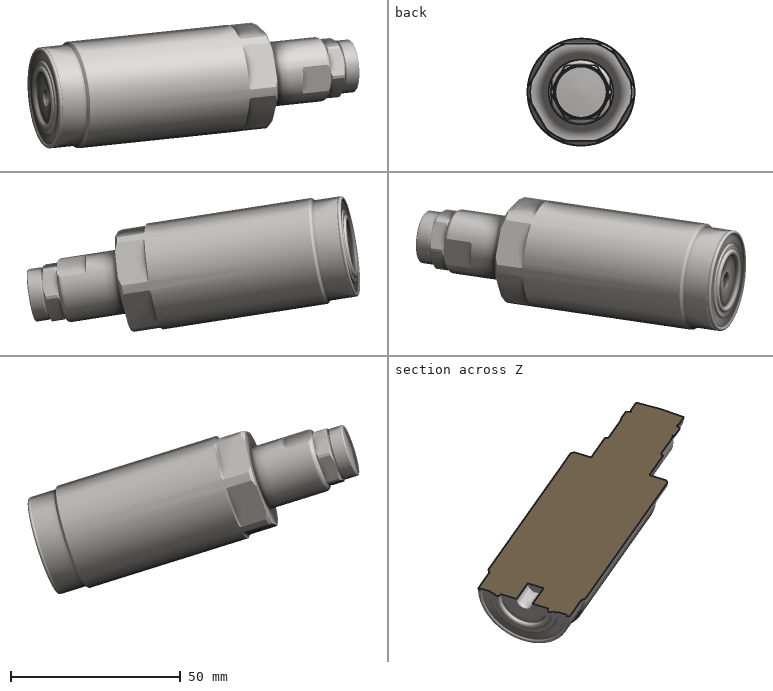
import cadquery as cq
import math

length = 96.6

floor_y = 1.1
bead_floor_y = 1.3
seat_y = 0.63
seat_base_radius = 11.0
seat_top_radius = 10.7
bead_inner_radius = 7.7
bead_outer_radius = 9.5
hole_radius = 2.5
hole_depth = 7.7

collar_radius = 15.0
collar_y = 1.5
rim_round = 0.6

body_diameter = 31.6
body_radius = body_diameter / 2
body_y = 9.8
body_end_y = 68.3
body_chamfer = 0.9
body_flat_y = 59.2
body_flat_apothem = 14.3

neck_diameter = 19.0
neck_radius = neck_diameter / 2
neck_end_y = 87.15
neck_round = 1.45
neck_flat_y = 78.1
neck_flat_apothem = 8.6

flat_fillet = 0.6

nut_radius = 8.9
nut_apothem = 7.9
nut_end_y = 91.6
nut_front_chamfer = 0.4
nut_rear_chamfer_length = 0.5
nut_rear_chamfer_depth = 0.9

groove_radius = 7.5
cap_radius = 7.8
cap_y = 91.9
cap_end_y = 96.2
cap_chamfer = 0.3
cone_radius = 7.0


def on_circle(center, radius, degrees):
    """Point (radius, y) on a circle of the half outline; 0 degrees points outward, 90 towards +Y."""
    turn = math.radians(degrees)
    return center[0] + radius * math.cos(turn), center[1] + radius * math.sin(turn)


def turned_body():
    """Revolve the half outline, drawn as (radius, y), about the Y axis."""
    bead_round = (bead_outer_radius - bead_inner_radius) / 2
    bead_center = (bead_inner_radius + bead_round, bead_round)
    bead_seat_angle = math.degrees(math.asin((seat_y - bead_round) / bead_round))
    bead_tip = on_circle(bead_center, bead_round, -90)
    bead_foot = on_circle(bead_center, bead_round, bead_seat_angle)
    rim_center = (collar_radius - rim_round, floor_y)
    rim_back = on_circle(rim_center, rim_round, 45)
    neck_center = (neck_radius - neck_round, neck_end_y - neck_round)

    outline = (
        cq.Workplane("XY")
        .moveTo(0, bead_floor_y)
        .lineTo(bead_inner_radius, bead_floor_y)
        .lineTo(bead_inner_radius, bead_center[1])
        .threePointArc(bead_tip, bead_foot)
        .lineTo(seat_top_radius, seat_y)
        .lineTo(seat_base_radius, floor_y)
        .lineTo(collar_radius - 2 * rim_round, floor_y)
        .threePointArc(on_circle(rim_center, rim_round, -90), rim_back)
        .lineTo(rim_back[0], collar_y)
        .lineTo(collar_radius, collar_y)
        .lineTo(collar_radius, body_y - (body_radius - collar_radius))
        .lineTo(body_radius, body_y)
        .lineTo(body_radius, body_end_y - body_chamfer)
        .lineTo(body_radius - body_chamfer, body_end_y)
        .lineTo(neck_radius, body_end_y)
        .lineTo(neck_radius, neck_center[1])
        .threePointArc(on_circle(neck_center, neck_round, 45), (neck_center[0], neck_end_y))
        .lineTo(nut_radius - nut_front_chamfer, neck_end_y)
        .lineTo(nut_radius, neck_end_y + nut_front_chamfer)
        .lineTo(nut_radius, nut_end_y - nut_rear_chamfer_length)
        .lineTo(nut_radius - nut_rear_chamfer_depth, nut_end_y)
        .lineTo(groove_radius, nut_end_y)
        .lineTo(groove_radius, cap_y)
        .lineTo(cap_radius, cap_y + cap_chamfer)
        .lineTo(cap_radius, cap_end_y - cap_chamfer)
        .lineTo(cap_radius - cap_chamfer, cap_end_y)
        .lineTo(cone_radius, cap_end_y)
        .lineTo(0, length)
        .close()
    )
    return outline.revolve(360, (0, 0, 0), (0, 1, 0))


def flat_cutter(apothem, start_y, end_y, angle, fillet=0):
    """Block covering everything beyond one flat; angle turns it about Y from +Z."""
    block_size = (body_diameter, end_y - start_y, body_radius)
    block = cq.Workplane("XY").box(*block_size, centered=(True, False, False))
    if fillet:
        block = block.edges("<Y and <Z").fillet(fillet)
    return block.translate((0, start_y, apothem)).rotate((0, 0, 0), (0, 1, 0), angle)


def face_hole():
    """Blind hole on the axis of the sealing face."""
    return cq.Workplane("XZ", origin=(0, bead_floor_y, 0)).circle(hole_radius).extrude(-hole_depth)


result = turned_body().cut(face_hole())

for side_angle in range(0, 360, 60):
    result = result.cut(flat_cutter(body_flat_apothem, body_flat_y, body_end_y, side_angle, flat_fillet))
    result = result.cut(flat_cutter(nut_apothem, neck_end_y, nut_end_y, side_angle))

for side_angle in (90, 270):
    result = result.cut(flat_cutter(neck_flat_apothem, neck_flat_y, neck_end_y, side_angle, flat_fillet))